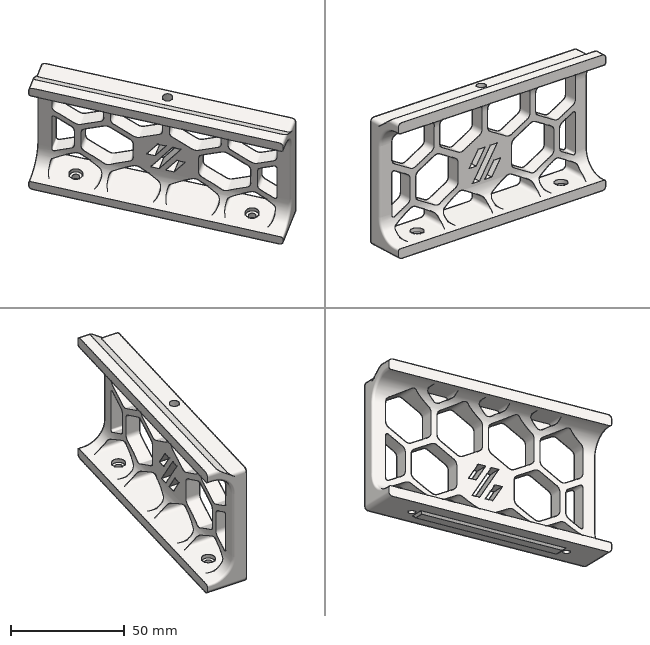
import cadquery as cq
import math

length = 117.0
depth = 20.0
body_height = 61.8
lip_height = 66.0
corner_radius = 2.0
back_chamfer = 0.5
through = 2 * depth

lip_top_depth = 5.3
lip_foot_depth = 11.0

wall_front = 13.0
floor_top = 4.9
lip_underside = 60.7
floor_radius = 10.5
lip_radius = 10.8
rim_radius = 1.2

grid_x = 0.7
column_pitch = 27.0
row_pitch = 21.6
middle_row_z = 24.9
hex_width = 23.9
hex_height = 25.4
hex_radius = 3.0
floor_corner_radius = 2.0
sharp_corner_radius = 0.9
window_half_span = 51.7

slot_width = 3.9
slot_height = 7.8
slot_slant = 0.64
slot_step = 6.9

screw_diameter = 3.4
screw_head_diameter = 6.2
screw_head_depth = 2.0
screw_y = 10.1
screw_columns = (-1.5, 1.5)

top_hole_diameter = 4.5
top_hole_depth = 5.8
top_hole_y = 15.6

key_length = 76.0
key_width = 7.0
key_drop = 1.0
key_taper = 45

tolerance = 0.01


def rounded_block(height):
    """Full-length block whose four long Y edges are rounded."""
    block = cq.Workplane("XY").box(length, depth, height, centered=(True, False, False))
    return block.edges("|Y").fillet(corner_radius)


def side_prism(outline):
    """Extrude a closed YZ outline over the full length."""
    return outline.extrude(length / 2, both=True)


def prism_y(points, cut_depth):
    """Extrude a closed polygon in XZ backwards from the front plane."""
    return cq.Workplane("XZ").polyline(points).close().extrude(-cut_depth)


def make_body():
    """Main block plus the part of a taller block that lies in front of the lip slope."""
    slope = (lip_height - body_height) / (lip_foot_depth - lip_top_depth)
    slope_end_y = lip_top_depth + lip_height / slope
    lip_outline = [(0, 0), (slope_end_y, 0), (lip_top_depth, lip_height), (0, lip_height)]
    lip_zone = side_prism(cq.Workplane("YZ").polyline(lip_outline).close())
    lip = rounded_block(lip_height).intersect(lip_zone)
    body = rounded_block(body_height).union(lip)
    return body.faces(">Y").edges().chamfer(back_chamfer)


def cut_channel(body):
    """Cut the C-shaped channel and round its rim at both ends."""
    floor_arc_y = wall_front - floor_radius
    floor_arc_z = floor_top + floor_radius
    floor_bend = floor_radius * math.sqrt(0.5)
    lip_arc_y = wall_front - lip_radius
    lip_arc_z = lip_underside - lip_radius
    lip_bend = lip_radius * math.sqrt(0.5)
    channel = side_prism(
        cq.Workplane("YZ")
        .moveTo(-depth, floor_top)
        .lineTo(floor_arc_y, floor_top)
        .threePointArc((floor_arc_y + floor_bend, floor_arc_z - floor_bend), (wall_front, floor_arc_z))
        .lineTo(wall_front, lip_arc_z)
        .threePointArc((lip_arc_y + lip_bend, lip_arc_z + lip_bend), (lip_arc_y, lip_underside))
        .lineTo(-depth, lip_underside)
        .close()
    )
    body = body.cut(channel)
    for end in (-length / 2, length / 2):
        rim = cq.selectors.BoxSelector(
            (end - tolerance, tolerance, floor_top - tolerance),
            (end + tolerance, wall_front + tolerance, lip_underside + tolerance),
        )
        body = body.edges(rim).fillet(rim_radius)
    return body


def is_trimmed_corner(edge):
    """True for an edge on a trimming plane of the window area."""
    center = edge.Center()
    at_side = abs(abs(center.x) - window_half_span) < tolerance
    at_floor = center.z < floor_top + tolerance
    at_lip = center.z > lip_underside - tolerance
    return at_side or at_floor or at_lip


def hex_window(column, row, cut_depth, trim_radius):
    """Rounded hexagonal cutter, trimmed to the window area; trim_radius rounds the trimmed corners."""
    x = grid_x + column * column_pitch
    z = middle_row_z + row * row_pitch
    half_width = hex_width / 2
    half_height = hex_height / 2
    shoulder = half_height / 2
    hexagon = prism_y(
        [
            (x, z + half_height),
            (x + half_width, z + shoulder),
            (x + half_width, z - shoulder),
            (x, z - half_height),
            (x - half_width, z - shoulder),
            (x - half_width, z + shoulder),
        ],
        cut_depth,
    )
    window_area = prism_y(
        [
            (-window_half_span, floor_top),
            (window_half_span, floor_top),
            (window_half_span, lip_underside),
            (-window_half_span, lip_underside),
        ],
        cut_depth,
    )
    cutter = hexagon.intersect(window_area)
    hex_corners = [edge for edge in cutter.edges("|Y").vals() if not is_trimmed_corner(edge)]
    cutter = cutter.newObject(hex_corners).fillet(hex_radius)
    trimmed_corners = [edge for edge in cutter.edges("|Y").vals() if is_trimmed_corner(edge)]
    if trimmed_corners:
        cutter = cutter.newObject(trimmed_corners).fillet(trim_radius)
    return cutter


def cut_honeycomb(body):
    """Three rows of through windows and a top row of pockets that stop at the wall."""
    for column in (-1.5, -0.5, 0.5, 1.5):
        body = body.cut(hex_window(column, 1, through, hex_radius))
        body = body.cut(hex_window(column, -1, through, floor_corner_radius))
    for column in (-2, -1, 1, 2):
        body = body.cut(hex_window(column, 0, through, sharp_corner_radius))
    for column in (-1, 0, 1):
        body = body.cut(hex_window(column, 2, wall_front, sharp_corner_radius))
    return body


def slanted_slot(x, z, height):
    """Slanted through slot centred on (x, z)."""
    half_height = height / 2
    half_width = slot_width / 2
    lean = slot_slant * half_height
    points = [
        (x - lean - half_width, z - half_height),
        (x - lean + half_width, z - half_height),
        (x + lean + half_width, z + half_height),
        (x + lean - half_width, z + half_height),
    ]
    return prism_y(points, through)


def cut_slots(body):
    """One long slot with a half-height slot at its upper left and lower right."""
    body = body.cut(slanted_slot(grid_x, middle_row_z, 2 * slot_height))
    half_height = slot_height / 2
    shift = slot_step - slot_slant * half_height
    for side in (-1, 1):
        body = body.cut(slanted_slot(grid_x + side * shift, middle_row_z - side * half_height, slot_height))
    return body


def drill_down(body, x, y, top_z, diameter, hole_depth):
    """Vertical hole going down from top_z."""
    hole = cq.Workplane("XY", origin=(x, y, top_z)).circle(diameter / 2).extrude(-hole_depth)
    return body.cut(hole)


def cut_holes(body):
    """Counterbored screw holes in the floor and a blind hole in the top."""
    for column in screw_columns:
        x = grid_x + column * column_pitch
        body = drill_down(body, x, screw_y, floor_top, screw_diameter, floor_top)
        body = drill_down(body, x, screw_y, floor_top, screw_head_diameter, screw_head_depth)
    return drill_down(body, grid_x, top_hole_y, body_height, top_hole_diameter, top_hole_depth)


def add_key(body):
    """Tapered key along the underside, between the screw holes."""
    base = cq.Workplane("XY", origin=(grid_x, screw_y, 0)).rect(key_length, key_width)
    return body.union(base.extrude(-key_drop, taper=key_taper))


body = cut_channel(make_body())
body = cut_honeycomb(body)
body = cut_slots(body)
body = cut_holes(body)
result = add_key(body)